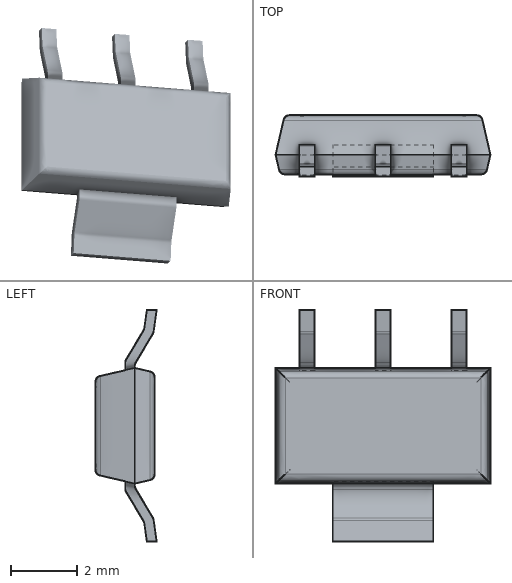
import cadquery as cq
import math

body_length = 6.5
body_height = 3.5
front_depth = 0.6
back_depth = 1.2
draft_angle = 13.0
body_edge_radius = 0.2

overall_height = 7.0
lead_thickness = 0.3
lead_overhang = 0.06
ramp_angle = 30.8
foot_angle = 8.0
foot_height = 0.69
bend_radius = 0.2
root_depth = 0.5

pin_width = 0.46
pin_pitch = 2.3
pin_count = 3
tab_width = 3.05


def drafted_half(depth):
    """Half of the body, narrowing along -Y for a positive depth and +Y for a negative one."""
    direction = math.copysign(1, depth)
    inset = abs(depth) * math.tan(math.radians(draft_angle))
    return (
        cq.Workplane("XZ")
        .rect(body_length, body_height)
        .workplane(offset=depth)
        .rect(body_length - 2 * inset, body_height - 2 * inset)
        .loft(ruled=True)
        .faces(cq.selectors.DirectionMinMaxSelector(cq.Vector(0, -direction, 0), True))
        .edges()
        .fillet(body_edge_radius)
    )


def lead(width, x_center):
    """Upward lead of the given width; its -Y side leaves the body at the parting plane."""
    ramp_slope = math.tan(math.radians(ramp_angle))
    foot_slope = math.tan(math.radians(foot_angle))

    tip_z = overall_height / 2
    tip_y = -(front_depth + lead_overhang)
    foot_z = tip_z - foot_height
    foot_y = tip_y + foot_height * foot_slope
    bend_z = foot_z + foot_y / ramp_slope
    root_z = body_height / 2 - root_depth

    root_shift = lead_thickness * math.tan(math.radians(ramp_angle / 2))
    mean_angle = math.radians((ramp_angle + foot_angle) / 2)
    half_turn = math.radians((ramp_angle - foot_angle) / 2)
    miter_length = lead_thickness / math.cos(half_turn)
    foot_shift_y = miter_length * math.cos(mean_angle)
    foot_shift_z = miter_length * math.sin(mean_angle)
    tip_thickness = lead_thickness / math.cos(math.radians(foot_angle))

    outline = [
        (0, root_z),
        (0, bend_z),
        (foot_y, foot_z),
        (tip_y, tip_z),
        (tip_y + tip_thickness, tip_z),
        (foot_y + foot_shift_y, foot_z + foot_shift_z),
        (lead_thickness, bend_z + root_shift),
        (lead_thickness, root_z),
    ]
    bend_band = cq.selectors.BoxSelector(
        (-width, tip_y - lead_thickness, root_z + lead_thickness),
        (width, 2 * lead_thickness, tip_z - lead_thickness),
    )
    return (
        cq.Workplane("YZ")
        .polyline(outline)
        .close()
        .extrude(width / 2, both=True)
        .edges("|X")
        .edges(bend_band)
        .fillet(bend_radius)
        .translate((x_center, 0, 0))
    )


body = drafted_half(front_depth).union(drafted_half(-back_depth))

for index in range(pin_count):
    pin_x = (index - (pin_count - 1) / 2) * pin_pitch
    body = body.union(lead(pin_width, pin_x))

tab = lead(tab_width, 0).mirror("XY")

result = body.union(tab)